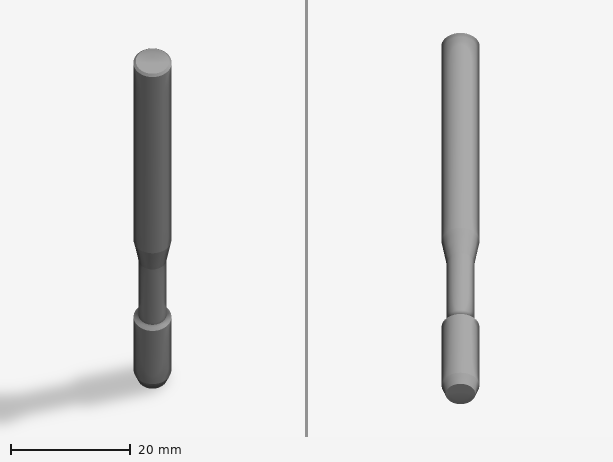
import cadquery as cq

total_length = 80.0
shank_diameter = 6.4

shank_length = 45.0
taper_length = 5.0
neck_diameter = 4.7
end_chamfer_width = 0.4
end_chamfer_height = 0.4

head_diameter = 6.3
head_length = 16.0
shoulder_height = 0.6
lead_height = 1.9
tip_diameter = 5.0

shank_radius = shank_diameter / 2
head_radius = head_diameter / 2
neck_radius = neck_diameter / 2
tip_radius = tip_diameter / 2
taper_top = total_length - shank_length
taper_bottom = taper_top - taper_length


def revolve_profile(profile):
    """Turn a closed (radius, height) profile about the Z axis."""
    return cq.Workplane("XZ").polyline(profile).close().revolve(360, (0, 0, 0), (0, 1, 0))


def make_shank():
    """Chamfered cylinder that tapers to a neck standing on the cutting head."""
    return revolve_profile([
        (0, head_length),
        (neck_radius, head_length),
        (neck_radius, taper_bottom),
        (shank_radius, taper_top),
        (shank_radius, total_length - end_chamfer_height),
        (shank_radius - end_chamfer_width, total_length),
        (0, total_length),
    ])


def make_cutting_head():
    """Cylinder with a conical lead-in below and a shallow cone up to the neck."""
    return revolve_profile([
        (0, 0),
        (tip_radius, 0),
        (head_radius, lead_height),
        (head_radius, head_length - shoulder_height),
        (neck_radius, head_length),
        (0, head_length),
    ])


shank = make_shank()
cutting_head = make_cutting_head()

result = cq.Compound.makeCompound([shank.val(), cutting_head.val()])